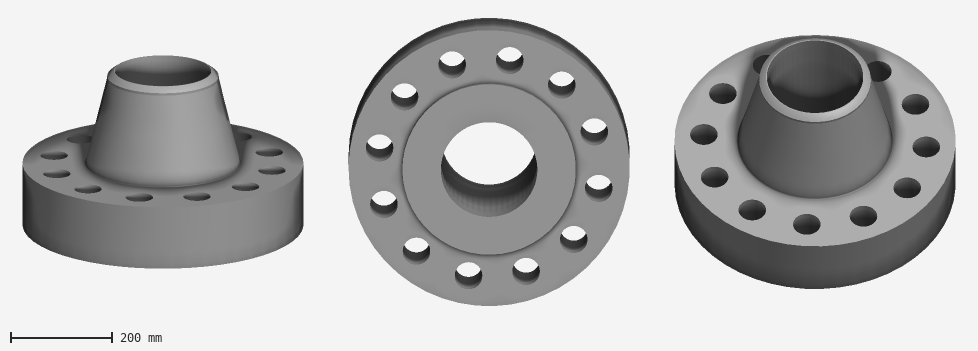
import cadquery as cq


flange_diameter = 552.5
flange_thickness = 127.0
raised_face_diameter = 341.0
raised_face_height = 14.5

total_height = 332.0
hub_base_diameter = 305.0
hub_root_fillet = 3.0
weld_end_diameter = 219.0
weld_end_straight = 5.0
weld_bevel_height = 10.0
weld_bevel_bulge = 0.5
weld_land_width = 1.5
bore_diameter = 189.5

bolt_hole_count = 12
bolt_hole_diameter = 54.0
bolt_circle_diameter = 438.0

flange_top = raised_face_height + flange_thickness
bevel_bottom = total_height - weld_bevel_height
taper_top = bevel_bottom - weld_end_straight


def flange_body():
    """Raised face, disc, hub and bored weld end, turned in one revolve."""
    bore_radius = bore_diameter / 2
    raised_face_radius = raised_face_diameter / 2
    flange_radius = flange_diameter / 2
    hub_base_radius = hub_base_diameter / 2
    weld_end_radius = weld_end_diameter / 2
    land_radius = bore_radius + weld_land_width

    profile = (
        cq.Workplane("XZ")
        .moveTo(bore_radius, 0)
        .lineTo(raised_face_radius, 0)
        .lineTo(raised_face_radius, raised_face_height)
        .lineTo(flange_radius, raised_face_height)
        .lineTo(flange_radius, flange_top)
        .lineTo(hub_base_radius, flange_top)
        .lineTo(weld_end_radius, taper_top)
        .lineTo(weld_end_radius, bevel_bottom)
        .sagittaArc((land_radius, total_height), -weld_bevel_bulge)
        .lineTo(bore_radius, total_height)
        .close()
    )
    body = profile.revolve(360, (0, 0, 0), (0, 1, 0))
    upper_face = body.faces(cq.selectors.NearestToPointSelector((bolt_circle_diameter / 2, 0, flange_top)))
    hub_root = upper_face.edges("%CIRCLE").edges(cq.selectors.RadiusNthSelector(0))
    return hub_root.fillet(hub_root_fillet)


def bolt_holes():
    """Evenly spaced through-hole cutters, the first one on +X."""
    return (
        cq.Workplane("XY")
        .polarArray(bolt_circle_diameter / 2, 0, 360, bolt_hole_count)
        .circle(bolt_hole_diameter / 2)
        .extrude(flange_top)
    )


result = flange_body().cut(bolt_holes())